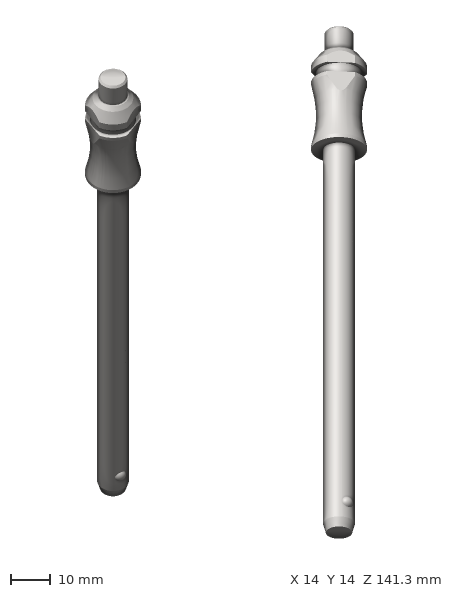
import cadquery as cq

shank_length = 108.0
shank_radius = 4.0
tip_radius = 3.3
tip_height = 2.5

ball_height = 7.0
ball_radius = 1.65
ball_reach = 4.85

grip_length = 19.0
grip_radius = 7.0
waist_radius = 5.75
rim_height = 1.0

neck_length = 2.6
neck_radius = 5.8

collar_edge_height = 2.0
collar_cone_height = 2.6
collar_cone_top_radius = 5.1
collar_shoulder_height = 0.9
collar_top_radius = 4.0

button_radius = 3.6
button_length = 6.2
button_chamfer = 0.5

flat_count = 3
flat_distance = 6.05
flat_depth = grip_radius - flat_distance

grip_bottom = shank_length
grip_top = grip_bottom + grip_length
waist_z = (grip_bottom + grip_top) / 2
collar_bottom = grip_top + neck_length
cone_bottom = collar_bottom + collar_edge_height
cone_top = cone_bottom + collar_cone_height
collar_top = cone_top + collar_shoulder_height
button_top = collar_top + button_length


def turned_body():
    """Revolve the whole pin, from the shank tip to the push button."""
    profile = (
        cq.Workplane("XZ")
        .moveTo(0, 0)
        .lineTo(tip_radius, 0)
        .lineTo(shank_radius, tip_height)
        .lineTo(shank_radius, grip_bottom)
        .lineTo(grip_radius, grip_bottom)
        .lineTo(grip_radius, grip_bottom + rim_height)
        .threePointArc((waist_radius, waist_z), (grip_radius, grip_top - rim_height))
        .lineTo(grip_radius, grip_top)
        .lineTo(neck_radius, grip_top)
        .lineTo(neck_radius, collar_bottom)
        .lineTo(grip_radius, collar_bottom)
        .lineTo(grip_radius, cone_bottom)
        .lineTo(collar_cone_top_radius, cone_top)
        .lineTo(collar_top_radius, collar_top)
        .lineTo(button_radius, collar_top)
        .lineTo(button_radius, button_top - button_chamfer)
        .lineTo(button_radius - button_chamfer, button_top)
        .lineTo(0, button_top)
        .close()
    )
    return profile.revolve(360, (0, 0, 0), (0, 1, 0))


def flat_cutter(index):
    """Block that cuts one flat; the first flat faces -Y."""
    cutter = (
        cq.Workplane("XY")
        .workplane(offset=waist_z)
        .center(0, -flat_distance - flat_depth / 2)
        .rect(2 * grip_radius, flat_depth)
        .extrude(button_top - waist_z)
    )
    return cutter.rotate((0, 0, 0), (0, 0, 1), index * 360 / flat_count)


def locking_ball(side):
    """Ball that protrudes from the shank towards +X or -X."""
    center_x = side * (ball_reach - ball_radius)
    return cq.Workplane("XY").sphere(ball_radius).translate((center_x, 0, ball_height))


result = turned_body()
for flat_index in range(flat_count):
    result = result.cut(flat_cutter(flat_index))
for ball_side in (-1, 1):
    result = result.union(locking_ball(ball_side))